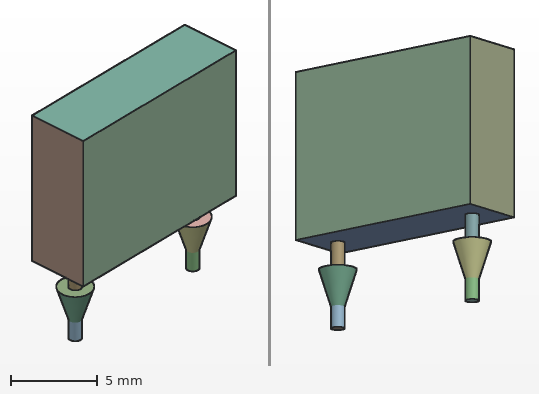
import cadquery as cq

total_height = 15.1
body_width = 4.0
body_length = 13.0
body_height = 10.0

pin_spacing = 10.0
pin_diameter = 0.8
pin_length = total_height - body_height
collar_drop = 1.6
collar_height = 2.22
collar_top_diameter = 2.2
collar_bottom_diameter = pin_diameter


def make_body():
    """Plain block standing on the XY plane."""
    return cq.Workplane("XY").box(body_width, body_length, body_height, centered=(True, True, False))


def make_pin(y):
    """Round pin below the block with its conical collar."""
    pin = cq.Workplane("XY").center(0, y).circle(pin_diameter / 2).extrude(-pin_length)
    collar = cq.Workplane(
        cq.Solid.makeCone(
            collar_top_diameter / 2,
            collar_bottom_diameter / 2,
            collar_height,
            pnt=cq.Vector(0, y, -collar_drop),
            dir=cq.Vector(0, 0, -1),
        )
    )
    return pin.union(collar)


result = make_body()
for side in (-1, 1):
    result = result.union(make_pin(side * pin_spacing / 2))